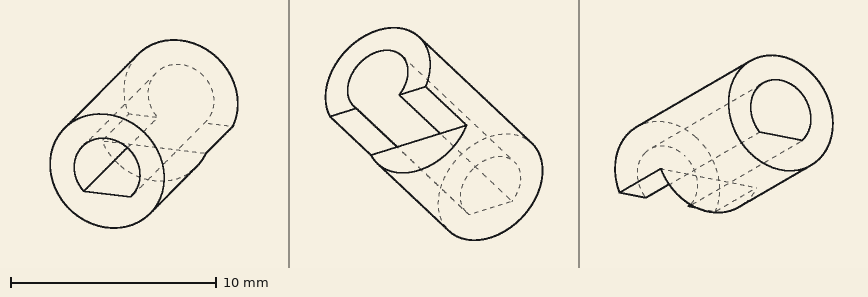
import cadquery as cq

length = 11.0
outer_diameter = 5.9
bore_diameter = 3.4
flat_depth = 1.2
step_length = 4.0

outer_radius = outer_diameter / 2


def cylinder_along_y(diameter):
    """Full-length cylinder from Y = 0 to Y = length."""
    return cq.Workplane("XZ").circle(diameter / 2).extrude(-length)


def block_below_flat(y_start, y_end):
    """Block filling everything below the plane of the flat."""
    height = outer_radius
    return cq.Workplane("XY").box(
        2 * outer_diameter, y_end - y_start, height, centered=(True, False, False)
    ).translate((0, y_start, -flat_depth - height))


bore = cylinder_along_y(bore_diameter).cut(block_below_flat(0, length))

step = block_below_flat(length - step_length, length)

result = cylinder_along_y(outer_diameter).cut(bore).cut(step)